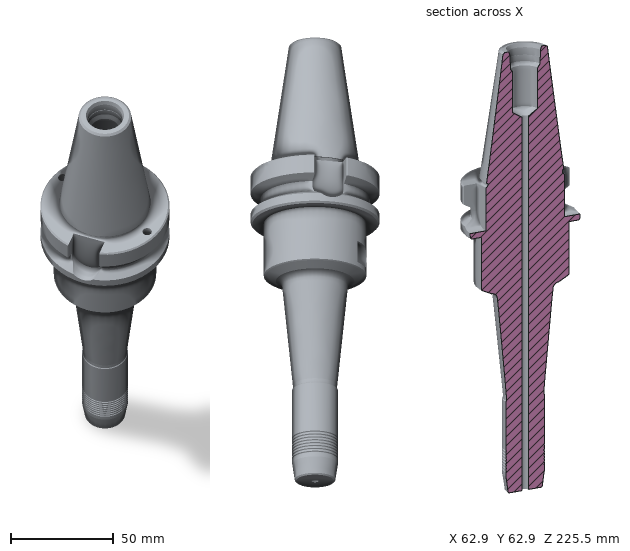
import cadquery as cq
import math

total_height = 225.5
gauge_z = 160.0
flange_top_z = 158.0
groove_upper_rim_z = 148.5
groove_upper_floor_z = 145.8
groove_lower_rim_z = 138.0
flange_bottom_z = 133.0
body_bottom_z = 106.2
shoulder_cone_bottom_z = 103.2
nose_taper_top_z = 100.5
nose_taper_bottom_z = 49.4
nose_neck_bottom_z = 47.3
tip_cone_top_z = 8.8

flange_radius = 62.9 / 2
groove_radius = 26.5
body_radius = 25.0
gauge_radius = 44.5 / 2
taper_ratio = 7 / 24
neck_radius = 21.5
shoulder_edge_radius = 24.3
shoulder_cone_radius = 19.2
nose_taper_radius = 16.0
nose_neck_radius = 10.8
nose_radius = 22.3 / 2
tip_radius = 10.0

taper_end_chamfer = 1.0
neck_fillet = 1.1
flange_top_chamfer = 0.7
flange_bottom_chamfer = 1.0
groove_fillet_radius = 1.1
groove_wall_slope = math.radians(30)
shoulder_chamfer_height = 0.5
nose_neck_chamfer = nose_radius - nose_neck_radius
tip_chamfer = 0.7

ring_groove_count = 8
ring_groove_pitch = 1.49
ring_groove_width = 0.7
ring_groove_depth = 0.5
lowest_ring_groove_z = 11.0

bore_mouth_radius = 9.2
pilot_radius = 8.5
thread_entry_radius = 8.3
thread_radius = 7.0
coolant_radius = 1.8
mouth_chamfer_depth = 2.0
pilot_depth = 5.9
thread_entry_depth = 9.0
thread_chamfer_depth = 10.8
thread_depth = 31.5
drill_half_angle = math.radians(59)

slot_width = 16.0
slot_floor_y = 22.5
slot_bottom_z = 136.1
slot_edge_chamfer = 0.5

balance_hole_radius = 2.3
balance_hole_depth = 6.8
balance_circle_radius = 26.8
balance_angles = (160, -20)

radial_hole_radius = 1.8
radial_hole_depth = 2.3
radial_hole_z = 143.5

side_hole_y = 13.3
side_hole_z = 113.8
side_hole_radius = 5.5


def turned_body():
    """Solid of revolution: steep taper, V-grooved flange, body and slender nose."""
    taper_end_radius = gauge_radius - (total_height - gauge_z) * taper_ratio / 2
    taper_chamfer_radius = taper_end_radius + taper_end_chamfer * taper_ratio / 2

    groove_corner_z = groove_lower_rim_z + (flange_radius - groove_radius) * math.tan(groove_wall_slope)
    fillet_reach = groove_fillet_radius * math.tan((math.pi / 2 - groove_wall_slope) / 2)
    fillet_start = (
        groove_radius + fillet_reach * math.cos(groove_wall_slope),
        groove_corner_z - fillet_reach * math.sin(groove_wall_slope),
    )
    fillet_end = (groove_radius, groove_corner_z + fillet_reach)

    outline = (
        cq.Workplane("XZ")
        .moveTo(0, 0)
        .lineTo(tip_radius - tip_chamfer, 0)
        .lineTo(tip_radius, tip_chamfer)
        .lineTo(nose_radius, tip_cone_top_z)
        .lineTo(nose_radius, nose_neck_bottom_z - nose_neck_chamfer)
        .lineTo(nose_neck_radius, nose_neck_bottom_z)
        .lineTo(nose_neck_radius, nose_taper_bottom_z)
        .lineTo(nose_taper_radius, nose_taper_top_z)
        .tangentArcPoint((shoulder_cone_radius, shoulder_cone_bottom_z), relative=False)
        .lineTo(shoulder_edge_radius, body_bottom_z - shoulder_chamfer_height)
        .lineTo(body_radius, body_bottom_z)
        .lineTo(body_radius, flange_bottom_z)
        .lineTo(flange_radius - flange_bottom_chamfer, flange_bottom_z)
        .lineTo(flange_radius, flange_bottom_z + flange_bottom_chamfer)
        .lineTo(flange_radius, groove_lower_rim_z)
        .lineTo(*fillet_start)
        .tangentArcPoint(fillet_end, relative=False)
        .lineTo(groove_radius, groove_upper_floor_z)
        .lineTo(flange_radius, groove_upper_rim_z)
        .lineTo(flange_radius, flange_top_z - flange_top_chamfer)
        .lineTo(flange_radius - flange_top_chamfer, flange_top_z)
        .lineTo(neck_radius + neck_fillet, flange_top_z)
        .tangentArcPoint((neck_radius, flange_top_z + neck_fillet), relative=False)
        .lineTo(neck_radius, gauge_z)
        .lineTo(gauge_radius, gauge_z)
        .lineTo(taper_chamfer_radius, total_height - taper_end_chamfer)
        .lineTo(taper_end_radius - taper_end_chamfer, total_height)
        .lineTo(0, total_height)
        .close()
    )
    return outline.revolve(360, (0, 0, 0), (0, 1, 0))


def ring_groove(bottom_z):
    """V-shaped ring cut around the nose, with its lower edge at bottom_z."""
    middle_z = bottom_z + ring_groove_width / 2
    return (
        cq.Workplane("XZ")
        .moveTo(nose_radius, bottom_z)
        .lineTo(nose_radius - ring_groove_depth, middle_z)
        .lineTo(nose_radius, bottom_z + ring_groove_width)
        .close()
        .revolve(360, (0, 0, 0), (0, 1, 0))
    )


def drawbar_bore():
    """Stepped thread bore from the spindle end, continued by a thin through hole."""
    drill_tip_depth = thread_depth + (thread_radius - coolant_radius) / math.tan(drill_half_angle)
    steps = [
        (bore_mouth_radius, 0),
        (pilot_radius, mouth_chamfer_depth),
        (pilot_radius, pilot_depth),
        (thread_entry_radius, pilot_depth),
        (thread_entry_radius, thread_entry_depth),
        (thread_radius, thread_chamfer_depth),
        (thread_radius, thread_depth),
        (coolant_radius, drill_tip_depth),
        (coolant_radius, total_height),
    ]
    outline = cq.Workplane("XZ").moveTo(0, total_height)
    for radius, depth in steps:
        outline = outline.lineTo(radius, total_height - depth)
    return outline.lineTo(0, 0).close().revolve(360, (0, 0, 0), (0, 1, 0))


def drive_slot():
    """Round-ended slot on the -Y side, open at the flange face, with broken edges."""
    half_width = slot_width / 2
    arc_center_z = slot_bottom_z + half_width
    slot = (
        cq.Workplane("XZ", origin=(0, -slot_floor_y, 0))
        .moveTo(-half_width, gauge_z)
        .lineTo(-half_width, arc_center_z)
        .threePointArc((0, slot_bottom_z), (half_width, arc_center_z))
        .lineTo(half_width, gauge_z)
        .close()
        .extrude(flange_radius)
    )
    rim_y = -math.sqrt(flange_radius**2 - half_width**2)
    chamfer_half_width = half_width + slot_edge_chamfer
    edge_break = (
        cq.Workplane("XY", origin=(0, 0, groove_upper_floor_z))
        .moveTo(-half_width, rim_y + slot_edge_chamfer)
        .lineTo(half_width, rim_y + slot_edge_chamfer)
        .lineTo(chamfer_half_width, rim_y)
        .lineTo(chamfer_half_width, -flange_radius)
        .lineTo(-chamfer_half_width, -flange_radius)
        .lineTo(-chamfer_half_width, rim_y)
        .close()
        .extrude(gauge_z - groove_upper_floor_z)
    )
    return slot.union(edge_break)


def drilled_hole(mouth, direction, radius, depth):
    """Blind hole of the given full-diameter depth that ends in a drill cone."""
    point = cq.Vector(*mouth)
    axis = cq.Vector(*direction)
    barrel = cq.Solid.makeCylinder(radius, depth, point, axis)
    tip = cq.Solid.makeCone(radius, 0, radius / math.tan(drill_half_angle), point + axis * depth, axis)
    return cq.Workplane(obj=barrel.fuse(tip))


def balance_hole():
    """Axial hole in the flange face, on the +X axis."""
    mouth = (balance_circle_radius, 0, flange_top_z)
    return drilled_hole(mouth, (0, 0, -1), balance_hole_radius, balance_hole_depth)


def radial_hole():
    """Hole in the groove floor that points at the part axis, on the +X axis."""
    mouth = (groove_radius, 0, radial_hole_z)
    return drilled_hole(mouth, (-1, 0, 0), radial_hole_radius, radial_hole_depth)


def side_screw_pocket():
    """Flat-floored pocket with a round end, open toward +Y, with a drill cone in its floor."""
    open_edge_y = side_hole_y + side_hole_radius
    floor_x = -math.sqrt(body_radius**2 - open_edge_y**2)
    wall_depth = body_radius + floor_x
    mouth = (-body_radius, side_hole_y, side_hole_z)
    hole = drilled_hole(mouth, (1, 0, 0), side_hole_radius, wall_depth)
    opening = cq.Workplane("XY").box(
        wall_depth, body_radius - side_hole_y, 2 * side_hole_radius, centered=(False, False, True)
    ).translate(mouth)
    return hole.union(opening)


def about_axis(shape, angle):
    """Copy of the shape turned about the part axis."""
    return shape.rotate((0, 0, 0), (0, 0, 1), angle)


result = turned_body().cut(drawbar_bore())
for index in range(ring_groove_count):
    result = result.cut(ring_groove(lowest_ring_groove_z + index * ring_groove_pitch))
for angle in (0, 180):
    result = result.cut(about_axis(drive_slot(), angle))
for angle in balance_angles:
    result = result.cut(about_axis(balance_hole(), angle))
    result = result.cut(about_axis(radial_hole(), angle))
result = result.cut(side_screw_pocket())